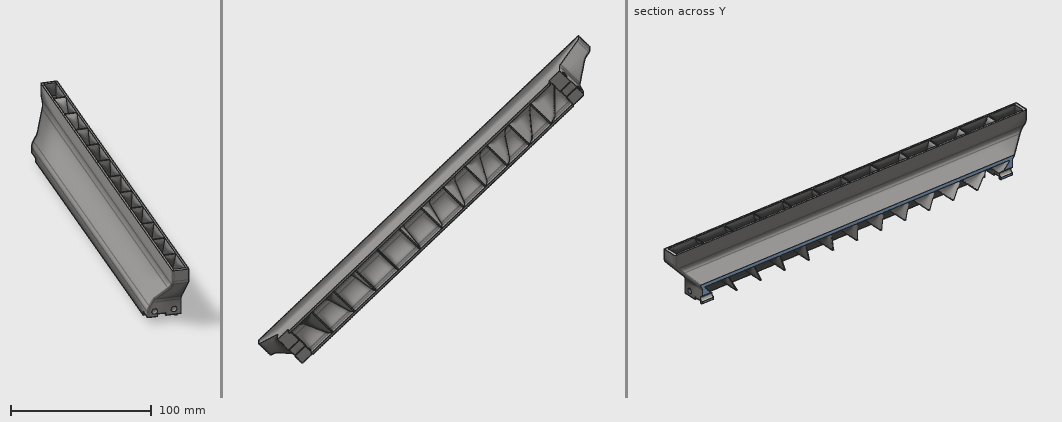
import cadquery as cq
import math

length = 320.0
depth = 25.0
height = 50.0
wall = 1.5

rim_depth = 12.0
slope_top_drop = 14.5
slope_bottom_drop = 37.0
slope_bend_radius = 9.5
lip_bottom = 3.2

end_inset = 19.0
undercut_top_drop = 10.0
undercut_bottom_drop = 30.7
undercut_bend_radius = 4.0
end_corner_radius = 1.0
block_bottom = 6.0
skirt_inset = 29.5
end_wall = 2.5

bay_count = 12
rib_thickness = 1.0
rib_bottom = 5.5
bay_narrowing = 4.8

hole_diameter = 4.0
hole_spacing = 14.5
hole_height = 10.2
notch_width = 6.0
notch_height = 2.0
notch_offset = 2.0

half_length = length / 2
back = depth / 2
front = -depth / 2
rim_front = back - rim_depth
block_end = half_length - end_inset
skirt_end = half_length - skirt_inset
slope_angle = math.atan2(rim_front - front, slope_bottom_drop - slope_top_drop)
undercut_run_per_drop = end_inset / (undercut_bottom_drop - undercut_top_drop)


def front_section(inward, bottom):
    """Full-length bar under the front surface moved inward, reaching from the back face to it."""
    bend_drop = inward * math.tan(slope_angle / 2)
    cove = (rim_front + inward, height - slope_top_drop - bend_drop)
    nose = (front + inward, height - slope_bottom_drop - bend_drop)
    bar = (
        cq.Workplane("YZ")
        .polyline([(back, height), (cove[0], height), cove, nose, (nose[0], bottom), (back, bottom)])
        .close()
        .extrude(half_length, both=True)
    )
    bar = bar.edges(cq.NearestToPointSelector((0, *cove))).fillet(slope_bend_radius + inward)
    return bar.edges(cq.NearestToPointSelector((0, *nose))).fillet(slope_bend_radius - inward)


def through_depth(points):
    """XZ outline extruded over the full depth of the part."""
    return cq.Workplane("XZ").polyline(points).close().extrude(depth / 2, both=True)


def mirrored_outline(right_side):
    """Close a right-hand XZ chain with its mirror image."""
    return right_side + [(-x, z) for x, z in reversed(right_side)]


def end_envelope():
    """Front outline: the long rim, undercut ends, end blocks and the shorter skirts below."""
    bends = [
        (half_length, height - undercut_top_drop),
        (block_end, height - undercut_bottom_drop),
    ]
    envelope = through_depth(
        mirrored_outline([(half_length, height), *bends, (block_end, block_bottom)])
    )
    for x, z in bends:
        for side in (-1, 1):
            bend = cq.NearestToPointSelector((side * x, 0, z))
            envelope = envelope.edges(bend).fillet(undercut_bend_radius)
    skirts = through_depth(mirrored_outline([(skirt_end, block_bottom), (skirt_end, 0)]))
    return envelope.union(skirts)


def outer_body():
    back_plate = cq.Workplane("XY").box(length, wall, height, centered=(True, False, False))
    bar = front_section(0, lip_bottom).union(back_plate.translate((0, back - wall, 0)))
    return bar.intersect(end_envelope())


def round_end_corners(body):
    """Round the corners where the front surface runs out at both ends."""
    front_region = cq.selectors.BoxSelector(
        (-length, front - wall, 0), (length, rim_front + wall, height)
    )
    above_skirts = body.edges(front_region).edges("not(|X or |Y)").filter(
        lambda edge: abs(edge.Center().x) > skirt_end + wall
    )
    return above_skirts.fillet(end_corner_radius)


def rib(index):
    """Rib leaning toward the middle at its foot; index counts from the middle rib."""
    top_x = index * length / bay_count
    foot_x = top_x - index * bay_narrowing
    half = rib_thickness / 2
    return through_depth([
        (top_x - half, height),
        (top_x + half, height),
        (foot_x + half, rib_bottom),
        (foot_x - half, rib_bottom),
    ])


def cavity():
    """Space between the walls, open above and below and split by the ribs."""
    inner_top = half_length - end_wall
    ramp_drop = (inner_top - skirt_end) / undercut_run_per_drop
    ramp_top = height - undercut_top_drop
    space = through_depth(mirrored_outline([
        (inner_top, height),
        (inner_top, ramp_top),
        (skirt_end, ramp_top - ramp_drop),
        (skirt_end, 0),
    ]))
    behind_front = front_section(wall, 0)
    before_back_wall = cq.Workplane("XY").box(length, depth, height, centered=(True, True, False))
    space = space.intersect(behind_front).intersect(before_back_wall.translate((0, -wall, 0)))
    for index in range(1 - bay_count // 2, bay_count // 2):
        space = space.cut(rib(index))
    return space


def end_openings():
    """Two round holes and a bottom notch through both end blocks."""
    block_length = skirt_inset - end_inset
    openings = cq.Workplane("XY")
    for start in (skirt_end, -block_end):
        plane = cq.Workplane("YZ", origin=(start, 0, 0))
        holes = (
            plane.pushPoints([(-hole_spacing / 2, hole_height), (hole_spacing / 2, hole_height)])
            .circle(hole_diameter / 2)
            .extrude(block_length)
        )
        notch = (
            plane.center(-notch_offset, block_bottom)
            .rect(notch_width, 2 * notch_height)
            .extrude(block_length)
        )
        openings = openings.add(holes).add(notch)
    return openings.combine()


body = round_end_corners(outer_body())
result = body.cut(cavity()).cut(end_openings()).solids()